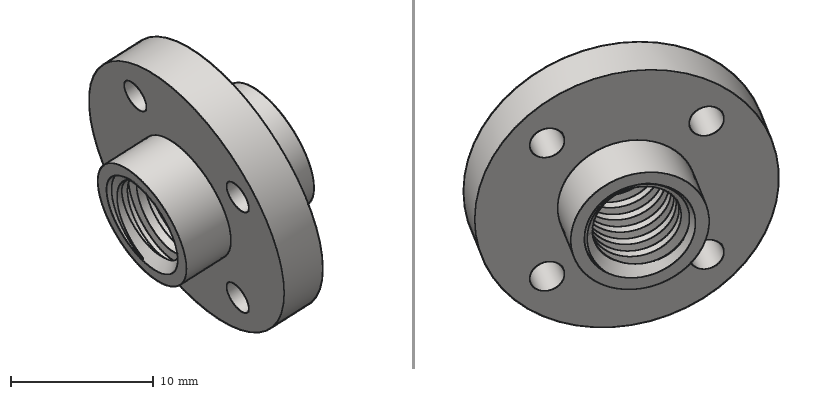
import cadquery as cq
import math

flange_diameter = 22.0
flange_thickness = 3.5
hub_diameter = 10.0
hub_length = 11.5

hole_diameter = 2.5
hole_spacing = 11.53

bore_diameter = 6.5
root_diameter = 8.0
pitch = 1.52
crest_width = 0.48
root_width = 0.57
mouth_diameter = 8.03
front_groove_depth = 1.32

overshoot = 0.22


def cylinder(diameter, length):
    """Cylinder on the local Z axis, centred on the origin."""
    return cq.Workplane("XY").circle(diameter / 2).extrude(length).translate((0, 0, -length / 2))


def mouth_chamfer():
    """45-degree cone that opens the bore at the local +Z face."""
    mouth_radius = mouth_diameter / 2
    depth = mouth_radius - bore_diameter / 2
    profile = [
        (0, hub_length / 2 - depth),
        (mouth_radius - depth, hub_length / 2 - depth),
        (mouth_radius, hub_length / 2),
        (0, hub_length / 2),
    ]
    return cq.Workplane("XZ").polyline(profile).close().revolve(360, (0, 0), (0, 1))


def thread_groove():
    """Helical groove that runs out through both ends of the hub."""
    turns = math.ceil(hub_length / pitch) + 2
    groove_top = hub_length / 2 - front_groove_depth + pitch
    start = groove_top - turns * pitch

    bore_radius = bore_diameter / 2
    root_radius = root_diameter / 2
    flank_slope = (pitch - crest_width - root_width) / 2 / (root_radius - bore_radius)
    inner_radius = bore_radius - overshoot
    inner_half_width = (pitch - crest_width) / 2 + overshoot * flank_slope * -1
    root_half_width = root_width / 2

    helix = cq.Wire.makeHelix(pitch, turns * pitch, bore_radius)
    groove = (
        cq.Workplane("XZ")
        .polyline([
            (inner_radius, -inner_half_width),
            (root_radius, -root_half_width),
            (root_radius, root_half_width),
            (inner_radius, inner_half_width),
        ])
        .close()
        .sweep(cq.Workplane(helix), isFrenet=True)
    )
    return groove.rotate((0, 0, 0), (0, 0, 1), -90).translate((0, 0, start))


body = cylinder(flange_diameter, flange_thickness).union(cylinder(hub_diameter, hub_length))

mounting_holes = (
    cq.Workplane("XY")
    .rect(hole_spacing, hole_spacing, forConstruction=True)
    .vertices()
    .circle(hole_diameter / 2)
    .extrude(flange_thickness + 2 * overshoot)
    .translate((0, 0, -flange_thickness / 2 - overshoot))
)
body = body.cut(mounting_holes)

body = body.cut(cylinder(bore_diameter, hub_length + 2 * overshoot))
chamfer = mouth_chamfer()
body = body.cut(chamfer).cut(chamfer.mirror("XY"))
body = body.cut(thread_groove().intersect(cylinder(hub_diameter, hub_length)))

result = body.rotate((0, 0, 0), (1, 0, 0), 90)